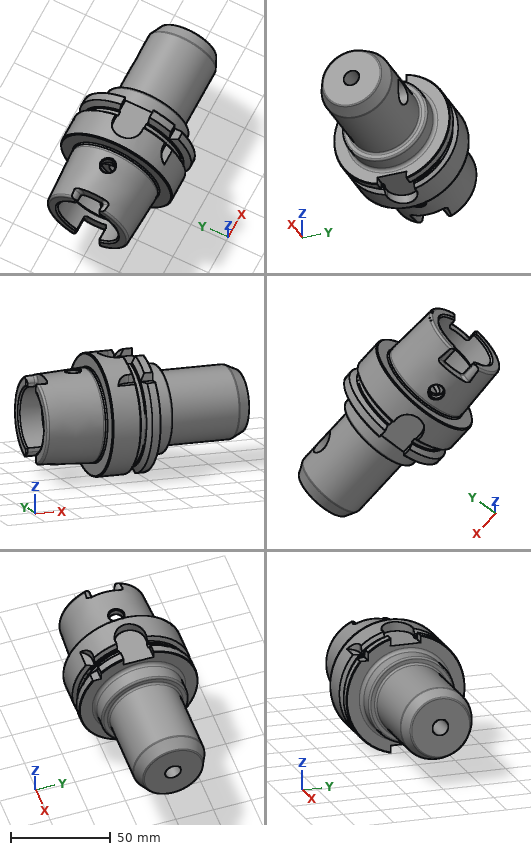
import cadquery as cq
import math

LENGTH = 112.0

TAPER_GAUGE_X = 25.6
TAPER_GAUGE_DIAMETER = 48.0
TAPER_SLOPE = 0.05
TAPER_END_ROUND = 1.1
RELIEF_START_X = 29.8
RELIEF_LOW_X = 31.0
RELIEF_DEPTH = 0.17
RELIEF_OUTER_RADIUS = 24.5

FLANGE_RADIUS = 31.5
FLANGE_FRONT_X = 31.9
FLANGE_BACK_X = 58.0
FLANGE_FRONT_CHAMFER = 0.6
FLANGE_BACK_CHAMFER = 0.3
GROOVE_RADIUS = 27.5
GROOVE_START_X = 48.2
GROOVE_END_X = 51.5
GROOVE_FRONT_LIP_RADIUS = 29.2
GROOVE_BACK_LIP_RADIUS = 28.2
GROOVE_FILLET = 0.6
GROOVE_SIDE_ANGLE = math.radians(30)

COLLAR_RADIUS = 46.0 / 2
COLLAR_FILLET = 1.8
COLLAR_END_X = 67.9
COLLAR_ROUND = 1.0
NOSE_RADIUS = 19.0
NOSE_FILLET = 1.0
NOSE_CONE_START_X = 105.3
NOSE_CONE_END_RADIUS = 15.9
NOSE_SHOULDER_ROUND = 1.5
NOSE_TIP_ROUND = 0.8

BORE_RADIUS = 17.0
BORE_MOUTH_RADIUS = 17.9
BORE_STRAIGHT_END_X = 12.8
UNDERCUT_RADIUS = 40.0 / 2
UNDERCUT_ANGLE = math.radians(60)
UNDERCUT_STRAIGHT_END_X = 26.1
BORE_FLOOR_RADIUS = 15.8
COUNTERBORE_RADIUS = 16.9 / 2
COUNTERBORE_DEPTH = 2.2
COOLANT_RADIUS = 8.4 / 2

KEYWAY_HALF_WIDTH = 6.3
KEYWAY_TOP_DEPTH = 5.8
KEYWAY_BOTTOM_DEPTH = 9.9
KEYWAY_EDGE_RADIUS = 3.0
KEYWAY_SHELF_Z = 20.8
KEYWAY_SHELF_HALF_WIDTH = 12.3
KEYWAY_INNER_Z = BORE_RADIUS / 2
KEYWAY_CORNER_FILLET = 1.3
KEYWAY_MOUTH_CHAMFER = 0.8

CROSS_HOLE_X = 22.8
CROSS_HOLE_RADIUS = 7.5 / 2
CROSS_HOLE_SINK_RADIUS = 8.4 / 2

SLOT_CENTER_X = 44.8
SLOT_RADIUS = 8.0
SLOT_FLOOR_Z = 26.5
NOTCH_FLOOR_Z = 20.0
NOTCH_WALL_Y = -19.9

SCREW_HOLE_X = 89.8
SCREW_HOLE_RADIUS = 12.9 / 2

CLEARANCE = 44.8


def taper_radius(x):
    return TAPER_GAUGE_DIAMETER / 2 + TAPER_SLOPE * (x - TAPER_GAUGE_X)


def turned_body():
    lip_run = math.tan(GROOVE_SIDE_ANGLE)
    front_lip_x = GROOVE_START_X - (FLANGE_RADIUS - GROOVE_FRONT_LIP_RADIUS) * lip_run
    back_lip_x = GROOVE_END_X + (FLANGE_RADIUS - GROOVE_BACK_LIP_RADIUS) * lip_run
    profile = (
        cq.Workplane("XY")
        .lineTo(0, taper_radius(TAPER_END_ROUND) - TAPER_END_ROUND)
        .radiusArc((TAPER_END_ROUND, taper_radius(TAPER_END_ROUND)), TAPER_END_ROUND)
        .lineTo(RELIEF_START_X, taper_radius(RELIEF_START_X))
        .lineTo(RELIEF_LOW_X, taper_radius(RELIEF_START_X) - RELIEF_DEPTH)
        .lineTo(FLANGE_FRONT_X, RELIEF_OUTER_RADIUS)
        .lineTo(FLANGE_FRONT_X, FLANGE_RADIUS - FLANGE_FRONT_CHAMFER)
        .lineTo(FLANGE_FRONT_X + FLANGE_FRONT_CHAMFER, FLANGE_RADIUS)
        .lineTo(front_lip_x, FLANGE_RADIUS)
        .lineTo(GROOVE_START_X, GROOVE_FRONT_LIP_RADIUS)
        .lineTo(GROOVE_START_X, GROOVE_RADIUS + GROOVE_FILLET)
        .radiusArc((GROOVE_START_X + GROOVE_FILLET, GROOVE_RADIUS), -GROOVE_FILLET)
        .lineTo(GROOVE_END_X - GROOVE_FILLET, GROOVE_RADIUS)
        .radiusArc((GROOVE_END_X, GROOVE_RADIUS + GROOVE_FILLET), -GROOVE_FILLET)
        .lineTo(GROOVE_END_X, GROOVE_BACK_LIP_RADIUS)
        .lineTo(back_lip_x, FLANGE_RADIUS)
        .lineTo(FLANGE_BACK_X - FLANGE_BACK_CHAMFER, FLANGE_RADIUS)
        .lineTo(FLANGE_BACK_X, FLANGE_RADIUS - FLANGE_BACK_CHAMFER)
        .lineTo(FLANGE_BACK_X, COLLAR_RADIUS + COLLAR_FILLET)
        .radiusArc((FLANGE_BACK_X + COLLAR_FILLET, COLLAR_RADIUS), -COLLAR_FILLET)
        .lineTo(COLLAR_END_X - COLLAR_ROUND, COLLAR_RADIUS)
        .radiusArc((COLLAR_END_X, COLLAR_RADIUS - COLLAR_ROUND), COLLAR_ROUND)
        .lineTo(COLLAR_END_X, NOSE_RADIUS + NOSE_FILLET)
        .radiusArc((COLLAR_END_X + NOSE_FILLET, NOSE_RADIUS), -NOSE_FILLET)
        .lineTo(NOSE_CONE_START_X, NOSE_RADIUS)
        .lineTo(LENGTH, NOSE_CONE_END_RADIUS)
        .lineTo(LENGTH, 0)
        .close()
    )
    body = profile.revolve(360, (0, 0, 0), (1, 0, 0))
    body = body.faces(">X").edges().fillet(NOSE_TIP_ROUND)
    shoulder_edge = cq.NearestToPointSelector((NOSE_CONE_START_X, 0, 0))
    return body.edges(shoulder_edge).fillet(NOSE_SHOULDER_ROUND)


def bore_cutter():
    undercut_run = (UNDERCUT_RADIUS - BORE_RADIUS) / math.tan(UNDERCUT_ANGLE)
    floor_fillet = UNDERCUT_RADIUS - BORE_FLOOR_RADIUS
    floor_x = UNDERCUT_STRAIGHT_END_X + floor_fillet
    counterbore_x = floor_x + COUNTERBORE_DEPTH
    profile = (
        cq.Workplane("XY")
        .lineTo(0, BORE_MOUTH_RADIUS)
        .lineTo(BORE_MOUTH_RADIUS - BORE_RADIUS, BORE_RADIUS)
        .lineTo(BORE_STRAIGHT_END_X, BORE_RADIUS)
        .lineTo(BORE_STRAIGHT_END_X + undercut_run, UNDERCUT_RADIUS)
        .lineTo(UNDERCUT_STRAIGHT_END_X, UNDERCUT_RADIUS)
        .radiusArc((floor_x, BORE_FLOOR_RADIUS), floor_fillet)
        .lineTo(floor_x, COUNTERBORE_RADIUS)
        .lineTo(counterbore_x, COUNTERBORE_RADIUS)
        .lineTo(counterbore_x, COOLANT_RADIUS)
        .lineTo(LENGTH, COOLANT_RADIUS)
        .lineTo(LENGTH, 0)
        .close()
    )
    return profile.revolve(360, (0, 0, 0), (1, 0, 0))


def keyway_cutter(depth):
    """Keyway on the +Z side: straight walls that round over onto a flat shelf."""
    arc_start_z = KEYWAY_SHELF_Z - KEYWAY_EDGE_RADIUS
    arc_end_y = KEYWAY_HALF_WIDTH + KEYWAY_EDGE_RADIUS
    slot = (
        cq.Workplane("YZ")
        .moveTo(-KEYWAY_HALF_WIDTH, KEYWAY_INNER_Z)
        .lineTo(KEYWAY_HALF_WIDTH, KEYWAY_INNER_Z)
        .lineTo(KEYWAY_HALF_WIDTH, arc_start_z)
        .radiusArc((arc_end_y, KEYWAY_SHELF_Z), KEYWAY_EDGE_RADIUS)
        .lineTo(KEYWAY_SHELF_HALF_WIDTH, KEYWAY_SHELF_Z)
        .lineTo(KEYWAY_SHELF_HALF_WIDTH, CLEARANCE)
        .lineTo(-KEYWAY_SHELF_HALF_WIDTH, CLEARANCE)
        .lineTo(-KEYWAY_SHELF_HALF_WIDTH, KEYWAY_SHELF_Z)
        .lineTo(-arc_end_y, KEYWAY_SHELF_Z)
        .radiusArc((-KEYWAY_HALF_WIDTH, arc_start_z), KEYWAY_EDGE_RADIUS)
        .close()
        .extrude(depth)
        .faces(">X")
        .edges()
        .fillet(KEYWAY_CORNER_FILLET)
    )
    mouth_half_width = KEYWAY_HALF_WIDTH + KEYWAY_MOUTH_CHAMFER
    mouth = (
        cq.Workplane("XY", origin=(0, 0, KEYWAY_INNER_Z))
        .moveTo(0, -mouth_half_width)
        .lineTo(KEYWAY_MOUTH_CHAMFER, -KEYWAY_HALF_WIDTH)
        .lineTo(KEYWAY_MOUTH_CHAMFER, KEYWAY_HALF_WIDTH)
        .lineTo(0, mouth_half_width)
        .close()
        .extrude(CLEARANCE)
    )
    return slot.union(mouth)


def cross_hole_cutter():
    """Through hole along Z with a small countersink at both ends."""
    surface_z = taper_radius(CROSS_HOLE_X)
    sink_depth = CROSS_HOLE_SINK_RADIUS - CROSS_HOLE_RADIUS
    half = (
        cq.Workplane("XZ")
        .lineTo(CROSS_HOLE_RADIUS, 0)
        .lineTo(CROSS_HOLE_RADIUS, surface_z - 2 * sink_depth)
        .lineTo(CROSS_HOLE_SINK_RADIUS, surface_z - sink_depth)
        .lineTo(CROSS_HOLE_SINK_RADIUS, FLANGE_RADIUS)
        .lineTo(0, FLANGE_RADIUS)
        .close()
        .revolve(360, (0, 0, 0), (0, 1, 0))
    )
    return half.union(half.mirror("XY")).translate((CROSS_HOLE_X, 0, 0))


def flange_slot_cutter(center_y, floor_z):
    """Slot with a round front end, open towards the back of the flange and upwards."""
    round_end = (
        cq.Workplane("XY", origin=(SLOT_CENTER_X, center_y, floor_z))
        .circle(SLOT_RADIUS)
        .extrude(CLEARANCE)
    )
    straight = (
        cq.Workplane("XY", origin=(SLOT_CENTER_X, center_y - SLOT_RADIUS, floor_z))
        .rect(FLANGE_BACK_X - SLOT_CENTER_X, 2 * SLOT_RADIUS, centered=False)
        .extrude(CLEARANCE)
    )
    return round_end.union(straight)


def screw_hole_cutter():
    """Hole from the +Y side of the nose to the axis."""
    return (
        cq.Workplane("XZ", origin=(SCREW_HOLE_X, 0, 0))
        .circle(SCREW_HOLE_RADIUS)
        .extrude(-CLEARANCE)
    )


drive_slot = flange_slot_cutter(0, SLOT_FLOOR_Z)
corner_notch = flange_slot_cutter(NOTCH_WALL_Y - SLOT_RADIUS, NOTCH_FLOOR_Z)

result = (
    turned_body()
    .cut(bore_cutter())
    .cut(keyway_cutter(KEYWAY_TOP_DEPTH))
    .cut(keyway_cutter(KEYWAY_BOTTOM_DEPTH).mirror("XY"))
    .cut(cross_hole_cutter())
    .cut(drive_slot)
    .cut(drive_slot.mirror("XY"))
    .cut(corner_notch)
    .cut(screw_hole_cutter())
)